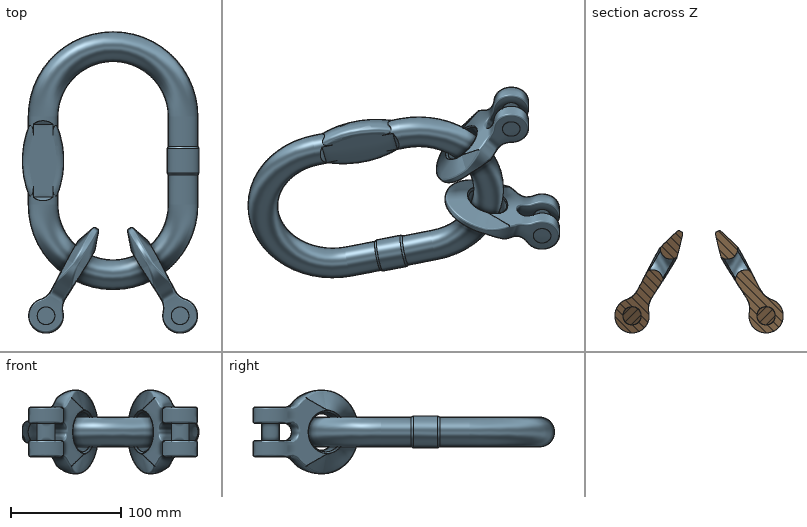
import cadquery as cq
import math

margin = 10.0
select_tolerance = 0.1
curved_edges = cq.selectors.StringSyntaxSelector("not %LINE")

bar_diameter = 27.0
ring_inner_width = 100.0
straight_length = 80.0
bar_radius = bar_diameter / 2
bend_radius = ring_inner_width / 2 + bar_radius

collar_diameter = 29.02
collar_length = 26.0
collar_chamfer_length = 2.0

grip_flat_height = 10.2
grip_flat_length = 66.0
grip_half_width = 18.84
grip_bulge_radius = 83.6
grip_edge_radius = 6.4

shackle_angle = 30.0
pin_x = 60.8
overall_front_y = -156.47
pin_diameter = 16.0
lug_radius = 15.8
pin_y = overall_front_y + lug_radius
fork_height = 45.0
fork_gap = 15.5
outline_edge_radius = 2.0
slot_edge_radius = 2.0
slot_end_y = 25.5

eye_y = 53.7
eye_radius = 38.0
shoulder_blend_radius = 12.0
neck_start_y = 21.7
neck_half_thickness = 7.5
face_slope = 0.038

hole_waist_radius = 16.5
hole_flare_radius = 18.0
hole_flare_depth = 7.2

bevel_start_radius = 17.0
bevel_half_thickness = 9.85
rim_half_thickness = 2.5
shoulder_bevel_slope = 0.139


def make_link():
    half_straight = straight_length / 2
    path = (
        cq.Workplane("XY")
        .moveTo(-bend_radius, -half_straight)
        .lineTo(-bend_radius, half_straight)
        .threePointArc((0, half_straight + bend_radius), (bend_radius, half_straight))
        .lineTo(bend_radius, -half_straight)
        .threePointArc((0, -half_straight - bend_radius), (-bend_radius, -half_straight))
        .close()
    )
    ring = (
        cq.Workplane("XZ", origin=(-bend_radius, -half_straight, 0))
        .circle(bar_radius)
        .sweep(path)
    )
    ring = ring.union(make_collar())
    for side in (1, -1):
        ring = ring.cut(make_flat_cutter(side))
    return ring.union(make_grip_bulge())


def make_collar():
    half_length = collar_length / 2
    full_half_length = half_length - collar_chamfer_length
    return (
        cq.Workplane("XY")
        .polyline([
            (0, -half_length),
            (bar_radius, -half_length),
            (collar_diameter / 2, -full_half_length),
            (collar_diameter / 2, full_half_length),
            (bar_radius, half_length),
            (0, half_length),
        ])
        .close()
        .revolve(360, (0, 0), (0, 1))
        .translate((bend_radius, 0, 0))
    )


def make_flat_cutter(side):
    """Trapezoid across the bar whose ends slope up at 45 degrees from the flat."""
    half_length = grip_flat_length / 2
    top = grip_flat_height + margin
    outline = [
        (-half_length, side * grip_flat_height),
        (half_length, side * grip_flat_height),
        (half_length + margin, side * top),
        (-half_length - margin, side * top),
    ]
    return (
        cq.Workplane("YZ", origin=(-bend_radius, 0, 0))
        .polyline(outline)
        .close()
        .extrude(bar_radius, both=True)
    )


def make_grip_bulge():
    half_length = grip_flat_length / 2
    sag = grip_bulge_radius - math.sqrt(grip_bulge_radius**2 - half_length**2)
    end_half_width = grip_half_width - sag
    return (
        cq.Workplane("XY")
        .moveTo(-end_half_width, -half_length)
        .lineTo(end_half_width, -half_length)
        .threePointArc((grip_half_width, 0), (end_half_width, half_length))
        .lineTo(-end_half_width, half_length)
        .threePointArc((-grip_half_width, 0), (-end_half_width, -half_length))
        .close()
        .extrude(grip_flat_height, both=True)
        .edges("%CIRCLE")
        .fillet(grip_edge_radius)
        .translate((-bend_radius, 0, 0))
    )


def make_plate_plan():
    """Shackle in plan: lug circle, concave necks and slightly widening plate faces."""
    end_y = eye_y + eye_radius + margin
    end_half_thickness = neck_half_thickness + face_slope * (end_y - neck_start_y)
    lean = math.atan(face_slope)
    normal_x = math.cos(lean)
    normal_y = -math.sin(lean)
    start_along_normal = neck_half_thickness * normal_x + neck_start_y * normal_y
    r = (
        (neck_start_y**2 + neck_half_thickness**2 - lug_radius**2)
        / (2 * (lug_radius - start_along_normal))
    )
    centre_x = neck_half_thickness + r * normal_x
    centre_y = neck_start_y + r * normal_y
    touch = lug_radius / (lug_radius + r)
    touch_x = centre_x * touch
    touch_y = centre_y * touch
    mid_turn = (math.atan2(centre_y, centre_x) - lean) / 2
    mid_x = centre_x - r * math.cos(mid_turn)
    mid_y = centre_y - r * math.sin(mid_turn)
    return (
        cq.Workplane("XY")
        .moveTo(touch_x, touch_y)
        .threePointArc((mid_x, mid_y), (neck_half_thickness, neck_start_y))
        .lineTo(end_half_thickness, end_y)
        .lineTo(-end_half_thickness, end_y)
        .lineTo(-neck_half_thickness, neck_start_y)
        .threePointArc((-mid_x, mid_y), (-touch_x, touch_y))
        .threePointArc((0, -lug_radius), (touch_x, touch_y))
        .close()
        .extrude(eye_radius, both=True)
    )


def make_side_outline():
    """Shackle seen along its thickness: fork block blended by arcs into the round eye."""
    r = shoulder_blend_radius
    half_fork = fork_height / 2
    centre_z = half_fork + r
    start_y = eye_y - math.sqrt((eye_radius + r)**2 - centre_z**2)
    touch = eye_radius / (eye_radius + r)
    touch_y = eye_y - (eye_y - start_y) * touch
    touch_z = centre_z * touch
    half_turn = math.atan2(touch_y - start_y, centre_z - touch_z) / 2
    mid_y = start_y + r * math.sin(half_turn)
    mid_z = centre_z - r * math.cos(half_turn)
    start = -lug_radius - margin
    return (
        cq.Workplane("YZ")
        .moveTo(start, half_fork)
        .lineTo(start_y, half_fork)
        .threePointArc((mid_y, mid_z), (touch_y, touch_z))
        .threePointArc((eye_y + eye_radius, 0), (touch_y, -touch_z))
        .threePointArc((mid_y, -mid_z), (start_y, -half_fork))
        .lineTo(start, -half_fork)
        .close()
        .extrude(lug_radius + margin, both=True)
    )


def bevel_profile(face, side):
    """Outline of the material removed between the bevel and the face, at the eye centre."""
    bevel_slope = (bevel_half_thickness - rim_half_thickness) / (eye_radius - bevel_start_radius)
    outer_radius = eye_radius + margin
    outer_x = bevel_half_thickness - bevel_slope * (outer_radius - bevel_start_radius)
    top_x = bevel_half_thickness + margin
    return [
        (face * bevel_half_thickness, side * bevel_start_radius),
        (face * outer_x, side * outer_radius),
        (face * top_x, side * outer_radius),
        (face * top_x, side * bevel_start_radius),
    ]


def make_cone_cutter(face):
    """Conical bevel around the far half of the eye."""
    return (
        cq.Workplane("XZ", origin=(0, eye_y, 0))
        .polyline(bevel_profile(face, 1))
        .close()
        .revolve(180, (0, 0), (-1, 0))
    )


def make_shoulder_cutter(face, side):
    """Flat bevel carrying on from the cone and running out towards the fork."""
    wire = cq.Workplane("XZ", origin=(0, eye_y, 0)).polyline(bevel_profile(face, side)).close().val()
    run_out = cq.Vector(face * shoulder_bevel_slope * eye_radius, -eye_radius, 0)
    return cq.Workplane(cq.Solid.extrudeLinear(cq.Face.makeFromWires(wire), run_out))


def make_eye_hole():
    """Hole through the eye: a waist that seats the ring bar, flared at both faces."""
    reach = hole_flare_depth + margin
    reach_radius = hole_flare_radius + margin
    return (
        cq.Workplane("XY", origin=(0, eye_y, 0))
        .moveTo(-reach, 0)
        .lineTo(-reach, reach_radius)
        .lineTo(-hole_flare_depth, hole_flare_radius)
        .threePointArc((0, hole_waist_radius), (hole_flare_depth, hole_flare_radius))
        .lineTo(reach, reach_radius)
        .lineTo(reach, 0)
        .close()
        .revolve(360, (0, 0), (1, 0))
    )


def make_fork_slot():
    half_gap = fork_gap / 2
    end_centre_y = slot_end_y - half_gap
    start_y = -lug_radius - margin
    return (
        cq.Workplane("YZ")
        .moveTo(start_y, -half_gap)
        .lineTo(end_centre_y, -half_gap)
        .threePointArc((slot_end_y, 0), (end_centre_y, half_gap))
        .lineTo(start_y, half_gap)
        .close()
        .extrude(lug_radius + margin, both=True)
    )


def round_outline(body):
    """Round the curved edges along the outline, leaving the crease between cone and face."""
    crease_box = cq.selectors.BoxSelector(
        (-lug_radius, eye_y, -select_tolerance),
        (lug_radius, eye_y + bevel_start_radius, select_tolerance),
    )
    return body.edges(curved_edges - crease_box).fillet(outline_edge_radius)


def round_slot(body):
    """Round the curved edges where the slot opens on the lugs and plate faces."""
    half_reach = fork_gap / 2 + select_tolerance
    slot_box = cq.selectors.BoxSelector(
        (-lug_radius, -lug_radius, -half_reach),
        (lug_radius, slot_end_y, half_reach),
    )
    return body.edges(curved_edges & slot_box).fillet(slot_edge_radius)


def make_shackle():
    body = make_plate_plan().intersect(make_side_outline())
    for face in (1, -1):
        body = body.cut(make_cone_cutter(face))
        for side in (1, -1):
            body = body.cut(make_shoulder_cutter(face, side))
    body = round_outline(body)
    body = round_slot(body.cut(make_fork_slot()))
    body = body.cut(make_eye_hole())
    return body.cut(make_pin())


def make_pin():
    """Pin through both lugs, flush with the top and bottom of the fork."""
    bottom = cq.Workplane("XY", origin=(0, 0, -fork_height / 2))
    return bottom.circle(pin_diameter / 2).extrude(fork_height)


def place(body, side):
    """Swing a body about its pin axis and move it to the -X or +X shackle position."""
    return body.rotate((0, 0, 0), (0, 0, 1), side * shackle_angle).translate((side * pin_x, pin_y, 0))


link = make_link()
bodies = [link.solids().val()]
for side in (-1, 1):
    shackle = place(make_shackle(), side)
    pin = place(make_pin(), side)
    bodies += [shackle.solids().val(), pin.val()]

result = cq.Compound.makeCompound(bodies)